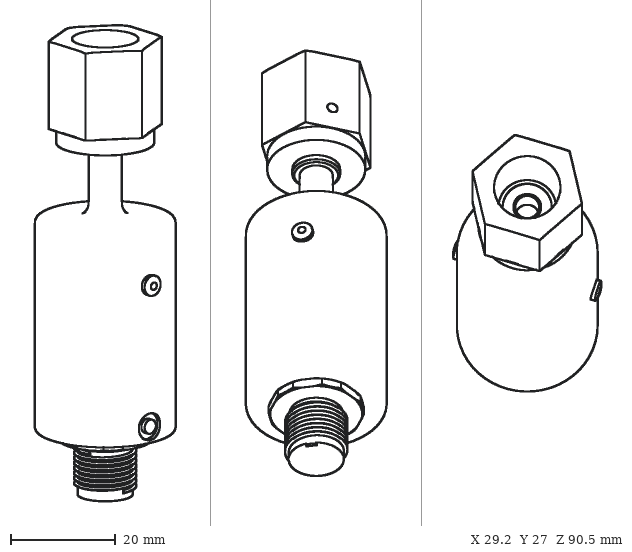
import cadquery as cq
import math

key_height = 0.2
key_width = 2.0
key_thickness = 0.7
connector_diameter = 10.6
thread_diameter = 12.0
thread_pitch = 1.0
thread_start = 1.55
thread_turns = 7.8
thread_root_width = 0.85
thread_embed = 0.2
neck_diameter = 10.3
neck_height = 0.9
neck_taper = 0.2

lock_nut_bottom = 10.9
lock_nut_height = 1.9
lock_nut_flats = 17.4
lock_nut_corner_flats = 17.9
lock_nut_tip_diameter = 18.4
lock_nut_end_diameter = 17.6
lock_nut_chamfer_height = 0.3

body_diameter = 27.0
body_bottom = lock_nut_bottom + lock_nut_height
body_length = 42.0
body_top = body_bottom + body_length
body_top_fillet = 1.0
body_bottom_fillet = 0.6
side_port_diameter = 5.3
side_port_depth = 1.0
side_port_rise = 3.4
side_port_height = body_bottom + side_port_rise
side_plug_diameter = 2.8

screw_span = 29.16
screw_head_diameter = 4.0
screw_rim_height = 0.7
screw_top_diameter = 1.8
screw_socket_diameter = 1.45
screw_socket_depth = 0.6
screw_embed = 1.0
screw_drop = 10.5
screw_height = body_top - screw_drop
screw_dome_fullness = 0.65

stem_diameter = 6.35
stem_fillet = 3.0
flange_diameter = 9.2
flange_height = 1.4
flange_chamfer = 0.4

overall_height = 90.51
nut_top = overall_height - key_height
nut_length = 17.4
nut_flats = 19.05
nut_bottom = nut_top - nut_length
nut_corner_chamfer_diameter = 20.6
nut_corner_chamfer_drop = 0.15
collar_diameter = 18.8
collar_height = 3.2
collar_bottom = nut_bottom - collar_height
nut_bore_diameter = 12.7
nut_bore_depth = 17.0
test_port_diameter = 2.03
test_port_drop = 12.6
test_port_height = nut_top - test_port_drop
test_port_angle = 210

gland_diameter = 11.0
gland_bead_outer_diameter = 9.4
gland_bead_inner_diameter = 5.3
gland_bore_diameter = 4.57
gland_bore_depth = 6.0
gland_drop = 10.0
gland_top = nut_top - gland_drop


def disc(diameter, bottom, height):
    return cq.Workplane("XY").workplane(offset=bottom).circle(diameter / 2).extrude(height)


def hexagon(flats, bottom, height):
    corner_diameter = flats / math.cos(math.pi / 6)
    return cq.Workplane("XY").workplane(offset=bottom).polygon(6, corner_diameter).extrude(height)


def make_thread():
    """Helical ridge, seated slightly below the connector surface."""
    root_radius = connector_diameter / 2 - thread_embed
    crest_radius = thread_diameter / 2
    length = thread_turns * thread_pitch
    helix = cq.Wire.makeHelix(thread_pitch, length, root_radius)
    profile = (
        cq.Workplane("XZ")
        .moveTo(root_radius, -thread_root_width / 2)
        .lineTo(crest_radius, 0)
        .lineTo(root_radius, thread_root_width / 2)
        .close()
    )
    return profile.sweep(cq.Workplane(helix), isFrenet=True).translate((0, 0, thread_start))


def make_connector():
    """Threaded shank with a relief neck under the lock nut and a locating key on its end."""
    radius = connector_diameter / 2
    neck_bottom = lock_nut_bottom - neck_height
    shank = (
        cq.Workplane("XZ")
        .moveTo(0, 0)
        .lineTo(radius, 0)
        .lineTo(radius, neck_bottom - neck_taper)
        .lineTo(neck_diameter / 2, neck_bottom)
        .lineTo(neck_diameter / 2, lock_nut_bottom)
        .lineTo(0, lock_nut_bottom)
        .close()
        .revolve(360, (0, 0), (0, 1))
    )
    key_blank = cq.Workplane("XY").box(key_thickness, key_width, 2 * key_height)
    key_blank = key_blank.translate((key_thickness / 2 - radius, 0, 0))
    key = key_blank.intersect(disc(connector_diameter, -key_height, 2 * key_height))
    return shank.union(make_thread()).union(key)


def make_lock_nut():
    """Thin hexagon with flats across X, its corners cut flat and chamfered at both ends."""
    nut = hexagon(lock_nut_flats, lock_nut_bottom, lock_nut_height).rotate((0, 0, 0), (0, 0, 1), 30)
    nut = nut.intersect(hexagon(lock_nut_corner_flats, lock_nut_bottom, lock_nut_height))
    chamfer_width = (lock_nut_tip_diameter - lock_nut_end_diameter) / 2
    end_limit = disc(lock_nut_tip_diameter, lock_nut_bottom, lock_nut_height)
    end_limit = end_limit.faces(">Z").chamfer(lock_nut_chamfer_height, chamfer_width)
    end_limit = end_limit.faces("<Z").chamfer(lock_nut_chamfer_height, chamfer_width)
    return nut.intersect(end_limit)


def make_body():
    """Cylindrical housing with a shallow round port in the +X side, holding a flush plug."""
    body = disc(body_diameter, body_bottom, body_length)
    body = body.faces(">Z").edges().fillet(body_top_fillet)
    body = body.faces("<Z").edges().fillet(body_bottom_fillet)
    port_floor = cq.Workplane("YZ").workplane(offset=body_diameter / 2 - side_port_depth)
    port_floor = port_floor.center(0, side_port_height)
    port = port_floor.circle(side_port_diameter / 2).extrude(side_port_depth)
    plug = port_floor.circle(side_plug_diameter / 2).extrude(side_port_depth)
    return body.cut(port).union(plug)


def make_screw():
    """Domed screw head on the +X side, with a conical socket."""
    rim_radius = screw_head_diameter / 2
    top_radius = screw_top_diameter / 2
    inner = body_diameter / 2 - screw_embed
    rim = body_diameter / 2 + screw_rim_height
    outer = screw_span / 2
    dome_middle = (rim + screw_dome_fullness * (outer - rim), (rim_radius + top_radius) / 2)
    head = (
        cq.Workplane("XY")
        .moveTo(inner, 0)
        .lineTo(inner, rim_radius)
        .lineTo(rim, rim_radius)
        .threePointArc(dome_middle, (outer, top_radius))
        .lineTo(outer, 0)
        .close()
        .revolve(360, (0, 0), (1, 0))
    )
    socket = (
        cq.Workplane("XY")
        .moveTo(outer - screw_socket_depth, 0)
        .lineTo(outer, screw_socket_diameter / 2)
        .lineTo(outer, 0)
        .close()
        .revolve(360, (0, 0), (1, 0))
    )
    return head.cut(socket).translate((0, 0, screw_height))


def make_stem():
    """Stem flaring into the body top, with a flange under the female nut."""
    stem_radius = stem_diameter / 2
    flange_radius = flange_diameter / 2
    flange_bottom = collar_bottom - flange_height
    flare_radius = stem_radius + stem_fillet
    arc_reach = stem_fillet * (1 - math.cos(math.pi / 4))
    flare_middle = (stem_radius + arc_reach, body_top + arc_reach)
    return (
        cq.Workplane("XZ")
        .moveTo(0, body_top)
        .lineTo(flare_radius, body_top)
        .threePointArc(flare_middle, (stem_radius, body_top + stem_fillet))
        .lineTo(stem_radius, flange_bottom)
        .lineTo(flange_radius - flange_chamfer, flange_bottom)
        .lineTo(flange_radius, flange_bottom + flange_chamfer)
        .lineTo(flange_radius, collar_bottom)
        .lineTo(0, collar_bottom)
        .close()
        .revolve(360, (0, 0), (0, 1))
    )


def make_female_nut():
    """Hexagon nut with a round collar, a deep bore and one test port through a flat."""
    tip_radius = nut_flats / 2 / math.cos(math.pi / 6)
    chamfer_radius = nut_corner_chamfer_diameter / 2
    corner_limit = (
        cq.Workplane("XZ")
        .moveTo(0, nut_bottom)
        .lineTo(tip_radius, nut_bottom)
        .lineTo(tip_radius, nut_top - nut_corner_chamfer_drop)
        .lineTo(chamfer_radius, nut_top)
        .lineTo(0, nut_top)
        .close()
        .revolve(360, (0, 0), (0, 1))
    )
    nut = hexagon(nut_flats, nut_bottom, nut_length).intersect(corner_limit)
    nut = nut.union(disc(collar_diameter, collar_bottom, collar_height))
    nut = nut.cut(disc(nut_bore_diameter, nut_top - nut_bore_depth, nut_bore_depth))
    test_port = (
        cq.Workplane("YZ")
        .center(0, test_port_height)
        .circle(test_port_diameter / 2)
        .extrude(nut_flats)
        .rotate((0, 0, 0), (0, 0, 1), test_port_angle)
    )
    return nut.cut(test_port)


def make_gland():
    """Tubular gland with a rounded sealing bead on its flat end."""
    outer_radius = gland_diameter / 2
    bead_outer_radius = gland_bead_outer_diameter / 2
    bead_inner_radius = gland_bead_inner_diameter / 2
    bead_radius = (bead_outer_radius - bead_inner_radius) / 2
    bead_center = gland_top - bead_radius
    bore_radius = gland_bore_diameter / 2
    bore_floor = gland_top - gland_bore_depth
    return (
        cq.Workplane("XZ")
        .moveTo(0, collar_bottom)
        .lineTo(outer_radius, collar_bottom)
        .lineTo(outer_radius, bead_center)
        .lineTo(bead_outer_radius, bead_center)
        .threePointArc((bead_outer_radius - bead_radius, gland_top), (bead_inner_radius, bead_center))
        .lineTo(bore_radius, bead_center)
        .lineTo(bore_radius, bore_floor)
        .lineTo(0, bore_floor)
        .close()
        .revolve(360, (0, 0), (0, 1))
    )


result = make_body().union(make_lock_nut()).union(make_connector()).union(make_stem())
for screw_angle in (0, 180):
    result = result.union(make_screw().rotate((0, 0, 0), (0, 0, 1), screw_angle))
result = result.union(make_female_nut()).union(make_gland())